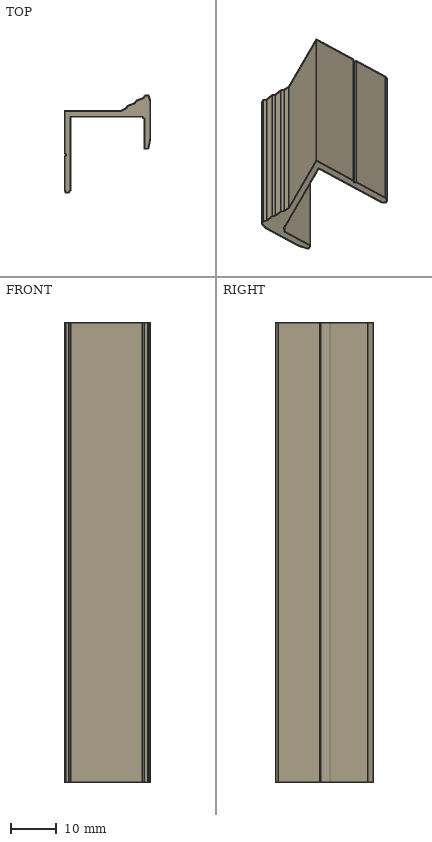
import cadquery as cq

length = 100.0
width = 18.66
depth = 21.21

wall = 1.3
lip_height = 3.4
long_leg_end = lip_height - depth
short_leg_end = -8.25
corner_chamfer = 0.5

taper_depth = 0.4
taper_length = 2.2
short_tip_chamfer = 0.2

long_tip_height = 0.6
long_tip_outer = 0.25
long_tip_inner = 0.45

groove_center = -9.58
groove_width = 0.75
groove_depth = 0.35

ramp_start = 12.2
tooth_count = 3
tooth_pitch = 1.9
tooth_height = lip_height / tooth_count
step_run = 0.45
step_rise = 0.58

lip_setback = 0.4
lip_width = 0.7
lip_back_height = 1.2


def draw_ramp(sketch):
    """Climb from the web to the lip: each tooth is a shallow slope and a steeper step."""
    crest_x = width - lip_setback - lip_width
    for teeth_left in reversed(range(tooth_count)):
        x = crest_x - teeth_left * tooth_pitch
        y = lip_height - teeth_left * tooth_height
        sketch = sketch.lineTo(x - step_run, y - step_rise).lineTo(x, y)
    return sketch


def draw_lip_and_short_leg(sketch):
    """Run over the lip, down the outside of the short leg and back up its inside."""
    inner_x = width - wall
    tip_x = width - taper_depth
    return (
        sketch.lineTo(width - lip_setback, lip_height)
        .lineTo(width, lip_height - lip_back_height)
        .lineTo(width, short_leg_end + taper_length)
        .lineTo(tip_x, short_leg_end + short_tip_chamfer)
        .lineTo(tip_x - short_tip_chamfer, short_leg_end)
        .lineTo(inner_x, short_leg_end)
        .lineTo(inner_x, -wall - corner_chamfer)
        .lineTo(inner_x - corner_chamfer, -wall)
    )


def draw_long_leg(sketch):
    """Run down the inside of the long leg, around its tip and up to the groove."""
    chamfer_top = long_leg_end + long_tip_height
    half_groove = groove_width / 2
    return (
        sketch.lineTo(wall, -wall)
        .lineTo(wall, chamfer_top)
        .lineTo(wall - long_tip_inner, long_leg_end)
        .lineTo(long_tip_outer, long_leg_end)
        .lineTo(0, chamfer_top)
        .lineTo(0, groove_center - half_groove)
        .lineTo(groove_depth, groove_center)
        .lineTo(0, groove_center + half_groove)
    )


profile = cq.Workplane("XY").moveTo(0, 0).lineTo(ramp_start, 0)
profile = draw_ramp(profile)
profile = draw_lip_and_short_leg(profile)
profile = draw_long_leg(profile)
result = profile.close().extrude(length)